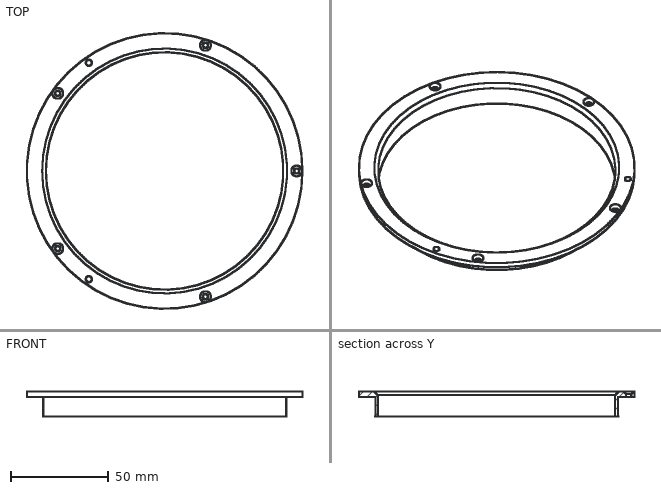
import cadquery as cq

flange_diameter = 141.8
flange_thickness = 3.0
spigot_diameter = 125.0
bore_diameter = 122.0
total_height = 13.0
bore_chamfer = 2.0

pitch_radius = 67.9
screw_count = 5
screw_diameter = 2.5
countersink_diameter = 5.5
countersink_angle = 90
pin_diameter = 3.0
pin_angle = 125


def ring_body():
    """Spigot and flange with a chamfered through bore."""
    spigot_height = total_height - flange_thickness
    body = (
        cq.Workplane("XY")
        .circle(spigot_diameter / 2)
        .extrude(spigot_height)
        .faces(">Z")
        .workplane()
        .circle(flange_diameter / 2)
        .extrude(flange_thickness)
    )
    body = body.faces(">Z").workplane().hole(bore_diameter)
    return body.faces(">Z").edges(cq.selectors.RadiusNthSelector(0)).chamfer(bore_chamfer)


def cut_screw_holes(body):
    """Evenly spaced countersunk holes, the first one on +X."""
    return (
        body.faces(">Z")
        .workplane(origin=(0, 0, total_height))
        .polarArray(pitch_radius, 0, 360, screw_count)
        .cskHole(screw_diameter, countersink_diameter, countersink_angle)
    )


def cut_pin_holes(body):
    """Pair of plain through holes on the -X half."""
    return (
        body.faces(">Z")
        .workplane(origin=(0, 0, total_height))
        .polarArray(pitch_radius, pin_angle, 360 - 2 * pin_angle, 2, fill=False)
        .hole(pin_diameter)
    )


result = cut_pin_holes(cut_screw_holes(ring_body()))